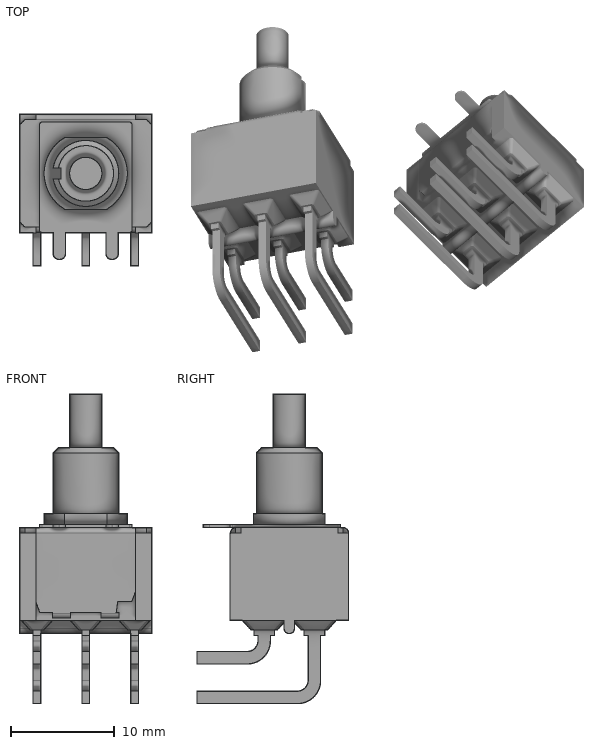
import cadquery as cq
import math


HOUSING_X = 12.7
HOUSING_Y = 11.43
HOUSING_HEIGHT = 8.37
FRONT_Y = -HOUSING_Y / 2

CAP_HEIGHT = 0.55
CAP_Y = HOUSING_Y - 2 * CAP_HEIGHT
CAP_CORNER_CHAMFER = 0.5
CAP_TOP = HOUSING_HEIGHT + CAP_HEIGHT
SHEET_THICKNESS = CAP_HEIGHT
BRACKET_HALF_X = 4.79
BRACKET_SETBACK = 0.05

BRACKET_EDGE_Z = 0.74
LEFT_CORNER_Z = 1.75
CORNER_RUN = 0.37
NOTCH_LEFT_X = 2.93
NOTCH_LEAN = 0.15
NOTCH_Z = 1.8
NOTCH_CORNER_Z = 2.75

LEG_X = 2.32
LEG_WIDTH = 1.72
LEG_BOTTOM = 0.2
LEG_BEND_RADIUS = 0.45

PLATE_THICKNESS = 0.31
PLATE_X = 8.9
PLATE_BACK_Y = 4.93
PLATE_CORNER_RADIUS = 0.25
PLATE_TOP = CAP_TOP + PLATE_THICKNESS
TAB_X = 2.54
TAB_WIDTH = 1.22
TAB_END_RADIUS = 0.6
TAB_END_Y = -8.29

FLANGE_DIAMETER = 8.0
FLANGE_FLATS = 6.9
FLANGE_HEIGHT = 1.02
BUSHING_DIAMETER = 6.35
BUSHING_HEIGHT = 6.35
BUSHING_CHAMFER = 0.5
KEYWAY_WIDTH = 1.03
KEYWAY_DEPTH = 0.78
PLUNGER_DIAMETER = 3.1
PLUNGER_TOP = 21.75
FLANGE_TOP = PLATE_TOP + FLANGE_HEIGHT
BUSHING_TOP = FLANGE_TOP + BUSHING_HEIGHT

RIB_WIDTH = 1.03
RIB_DEPTH = 1.29

COLUMN_PITCH = 4.7
ROW_PITCH = 4.83
SEAL_X = 3.05
SEAL_Y = 4.25
SEAL_HEIGHT = 0.93
SEAL_INSET = 0.86
SEAL_TOP_RADIUS = 0.3
SEAL_TIP_RADIUS = 0.25
COLLAR_Y = 2.0
COLLAR_BOTTOM = -1.48
PIN_WIDTH = 0.76
PIN_DEPTH = 1.22
PIN_END_Y = FRONT_Y - 3.18
BEND_INNER_RADIUS = 1.02
LOWER_PIN_BOTTOM = -8.03
PIN_LEVEL_PITCH = 3.81


def box(size_x, y_min, y_max, z_min, z_max, center_x=0):
    """Box given by its width about center_x and its Y and Z limits."""
    return (
        cq.Workplane("XY", origin=(center_x, 0, 0))
        .box(size_x, y_max - y_min, z_max - z_min, centered=(True, False, False))
        .translate((0, y_min, z_min))
    )


def disc(diameter, z_min, z_max):
    """Cylinder on the bushing axis."""
    return cq.Workplane("XY").workplane(offset=z_min).circle(diameter / 2).extrude(z_max - z_min)


def make_housing():
    """Housing block whose front face carries the slightly set back bracket, open below its edge."""
    block = box(HOUSING_X, FRONT_Y, -FRONT_Y, 0, HOUSING_HEIGHT)
    recess = (
        cq.Workplane("XZ", origin=(0, FRONT_Y, 0))
        .moveTo(-BRACKET_HALF_X, 0)
        .lineTo(-BRACKET_HALF_X, LEFT_CORNER_Z)
        .lineTo(-BRACKET_HALF_X + CORNER_RUN, BRACKET_EDGE_Z)
        .lineTo(NOTCH_LEFT_X, BRACKET_EDGE_Z)
        .lineTo(NOTCH_LEFT_X + NOTCH_LEAN, NOTCH_Z)
        .lineTo(BRACKET_HALF_X - CORNER_RUN, NOTCH_Z)
        .lineTo(BRACKET_HALF_X, NOTCH_CORNER_Z)
        .lineTo(BRACKET_HALF_X, 0)
        .close()
        .extrude(-SHEET_THICKNESS)
    )
    setback = box(2 * BRACKET_HALF_X, FRONT_Y, FRONT_Y + BRACKET_SETBACK, 0, HOUSING_HEIGHT)
    return block.cut(recess).cut(setback)


def make_leg(center_x):
    """Bracket leg in the recess, its outer lower edge rounded under the housing."""
    front_y = FRONT_Y + BRACKET_SETBACK
    leg = box(LEG_WIDTH, front_y, FRONT_Y + SHEET_THICKNESS, LEG_BOTTOM, BRACKET_EDGE_Z, center_x)
    return leg.edges("<Y and <Z").fillet(LEG_BEND_RADIUS)


def make_cap():
    """Cap with clipped corners, crossed by the round-shouldered bracket."""
    cap = box(HOUSING_X, -CAP_Y / 2, CAP_Y / 2, HOUSING_HEIGHT, CAP_TOP)
    cap = cap.edges("|Z").chamfer(CAP_CORNER_CHAMFER)
    front_y = FRONT_Y + BRACKET_SETBACK
    bracket_top = (
        cq.Workplane("YZ", origin=(-BRACKET_HALF_X, 0, 0))
        .moveTo(front_y, HOUSING_HEIGHT)
        .radiusArc((front_y + CAP_HEIGHT, CAP_TOP), CAP_HEIGHT)
        .lineTo(CAP_Y / 2, CAP_TOP)
        .radiusArc((-FRONT_Y, HOUSING_HEIGHT), CAP_HEIGHT)
        .close()
        .extrude(2 * BRACKET_HALF_X)
    )
    return cap.union(bracket_top)


def make_plate():
    """Thin plate with rounded corners and two round-ended tabs."""
    plate = box(PLATE_X, FRONT_Y, PLATE_BACK_Y, CAP_TOP, PLATE_TOP)
    plate = plate.edges("|Z").fillet(PLATE_CORNER_RADIUS)
    for side in (-1, 1):
        tab = box(TAB_WIDTH, TAB_END_Y, 0, CAP_TOP, PLATE_TOP, side * TAB_X)
        tab = tab.edges("|Z and <Y").fillet(TAB_END_RADIUS)
        plate = plate.union(tab)
    return plate


def make_actuator():
    """Flange with two flats, keyed bushing and plunger."""
    flange = disc(FLANGE_DIAMETER, PLATE_TOP, FLANGE_TOP)
    flats = box(FLANGE_DIAMETER, -FLANGE_FLATS / 2, FLANGE_FLATS / 2, PLATE_TOP, FLANGE_TOP)
    flange = flange.intersect(flats)
    bushing = disc(BUSHING_DIAMETER, FLANGE_TOP, BUSHING_TOP).faces(">Z").chamfer(BUSHING_CHAMFER)
    half_key = KEYWAY_WIDTH / 2
    keyway = box(2 * KEYWAY_DEPTH, -half_key, half_key, FLANGE_TOP, BUSHING_TOP, -BUSHING_DIAMETER / 2)
    plunger = disc(PLUNGER_DIAMETER, FLANGE_TOP, PLUNGER_TOP)
    return flange.union(bushing.cut(keyway)).union(plunger)


def make_rib():
    """Round-edged rib across the underside."""
    radius = RIB_WIDTH / 2
    return (
        cq.Workplane("YZ", origin=(-HOUSING_X / 2, 0, 0))
        .moveTo(-radius, 0)
        .lineTo(-radius, radius - RIB_DEPTH)
        .threePointArc((0, -RIB_DEPTH), (radius, radius - RIB_DEPTH))
        .lineTo(radius, 0)
        .close()
        .extrude(HOUSING_X)
    )


def make_terminal(x, y, pin_bottom):
    """Sealing mound, collar and pin bent toward -Y, its lower face at pin_bottom."""
    top = cq.Sketch().rect(SEAL_X, SEAL_Y).vertices().fillet(SEAL_TOP_RADIUS)
    tip = cq.Sketch().rect(SEAL_X - 2 * SEAL_INSET, SEAL_Y - 2 * SEAL_INSET).vertices().fillet(SEAL_TIP_RADIUS)
    tip = tip.moved(cq.Location(cq.Vector(0, 0, -SEAL_HEIGHT)))
    seal = cq.Workplane("XY", origin=(x, y, 0)).placeSketch(top, tip).loft()

    collar = box(PIN_WIDTH, y - COLLAR_Y / 2, y + COLLAR_Y / 2, COLLAR_BOTTOM, -SEAL_HEIGHT, x)

    back_y = y + PIN_DEPTH / 2
    inner_y = y - PIN_DEPTH / 2
    pin_top = pin_bottom + PIN_DEPTH
    outer_radius = BEND_INNER_RADIUS + PIN_DEPTH
    bend_z = pin_bottom + outer_radius
    bend_y = back_y - outer_radius
    diagonal = math.sqrt(0.5)
    pin = (
        cq.Workplane("YZ", origin=(x - PIN_WIDTH / 2, 0, 0))
        .moveTo(back_y, -SEAL_HEIGHT)
        .lineTo(back_y, bend_z)
        .threePointArc(
            (bend_y + outer_radius * diagonal, bend_z - outer_radius * diagonal), (bend_y, pin_bottom)
        )
        .lineTo(PIN_END_Y, pin_bottom)
        .lineTo(PIN_END_Y, pin_top)
        .lineTo(bend_y, pin_top)
        .threePointArc(
            (bend_y + BEND_INNER_RADIUS * diagonal, bend_z - BEND_INNER_RADIUS * diagonal), (inner_y, bend_z)
        )
        .lineTo(inner_y, -SEAL_HEIGHT)
        .close()
        .extrude(PIN_WIDTH)
    )
    return seal.union(collar).union(pin)


result = make_housing()
for feature in (make_cap(), make_plate(), make_actuator(), make_rib()):
    result = result.union(feature)
for side in (-1, 1):
    result = result.union(make_leg(side * LEG_X))
for column in (-1, 0, 1):
    column_x = column * COLUMN_PITCH
    result = result.union(make_terminal(column_x, ROW_PITCH / 2, LOWER_PIN_BOTTOM))
    result = result.union(make_terminal(column_x, -ROW_PITCH / 2, LOWER_PIN_BOTTOM + PIN_LEVEL_PITCH))